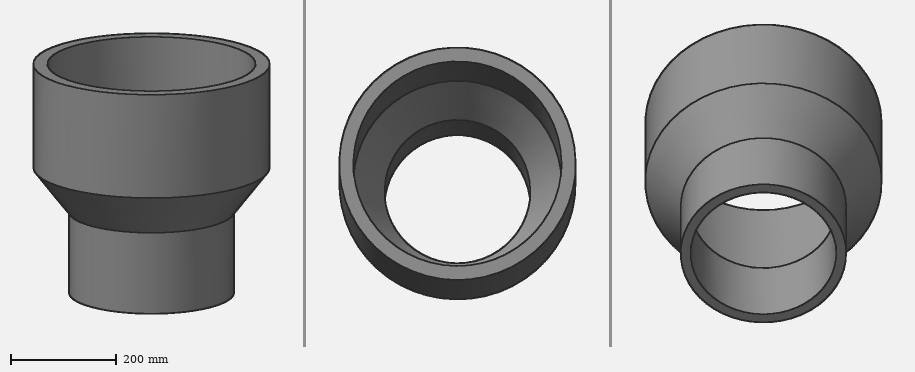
import cadquery as cq

total_height = 450.0
large_diameter = 450.0
small_diameter = 315.0
large_bore = 396.0
small_bore = 277.0

cone_bottom = 159.8
cone_top = 246.5


def stepped_solid(lower_diameter, upper_diameter):
    """Solid of revolution: lower cylinder, cone, upper cylinder."""
    lower_radius = lower_diameter / 2
    upper_radius = upper_diameter / 2
    half_section = (
        cq.Workplane("XZ")
        .moveTo(0, 0)
        .lineTo(lower_radius, 0)
        .lineTo(lower_radius, cone_bottom)
        .lineTo(upper_radius, cone_top)
        .lineTo(upper_radius, total_height)
        .lineTo(0, total_height)
        .close()
    )
    return half_section.revolve(360, (0, 0, 0), (0, 1, 0))


outer_body = stepped_solid(small_diameter, large_diameter)
flow_passage = stepped_solid(small_bore, large_bore)
result = outer_body.cut(flow_passage)